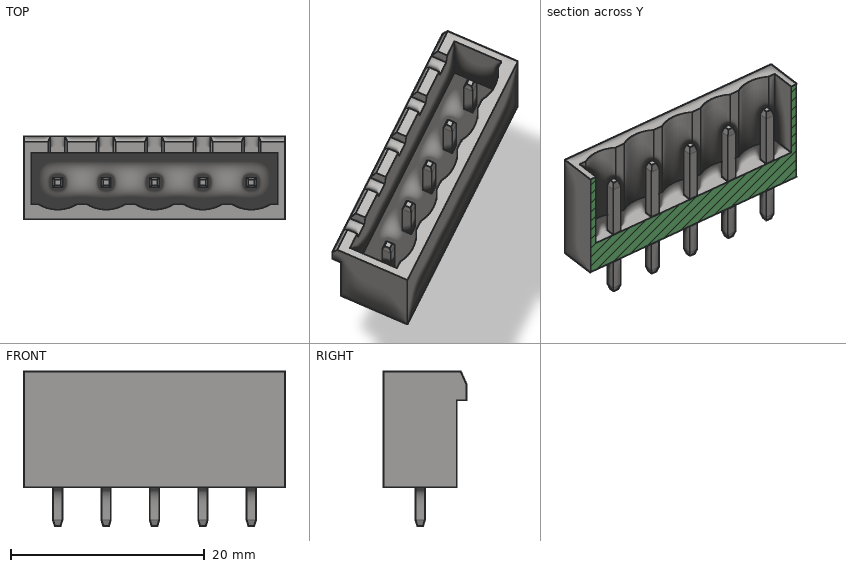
import cadquery as cq

pin_count = 5
pitch = 5.0
row_end_margin = 3.5
length = (pin_count - 1) * pitch + 2 * row_end_margin
body_depth = 7.6
body_height = 12.0
front_y = -3.8
rear_y = front_y + body_depth

lip_projection = 1.0
lip_height = 3.0
lip_bevel_depth = 0.6
lip_bevel_height = 1.35
lip_y = rear_y + lip_projection

end_wall = 0.75
front_wall = 1.55
rear_wall = 1.7
cavity_rear_y = lip_y - rear_wall
cavity_floor_z = 3.5
scallop_width = 3.9
scallop_rise = 0.55

notch_top_width = 2.0
notch_floor_width = 1.5
notch_depth = lip_bevel_height

pin_width = 1.0
pin_tip_width = 0.6
pin_taper_length = 0.67
pin_bottom_z = -4.0
pin_top_z = 10.0

pin_positions = [(i - (pin_count - 1) / 2) * pitch for i in range(pin_count)]


def make_body():
    """Side profile with the bevelled rear lip, extruded along the row."""
    profile = [
        (front_y, 0),
        (rear_y, 0),
        (rear_y, body_height - lip_height),
        (lip_y, body_height - lip_height),
        (lip_y, body_height - lip_bevel_height),
        (lip_y - lip_bevel_depth, body_height),
        (front_y, body_height),
    ]
    return cq.Workplane("YZ").polyline(profile).close().extrude(length / 2, both=True)


def make_cavity():
    """Rectangular cavity whose front side has one shallow arc scallop per pin."""
    half_length = length / 2 - end_wall
    inner_front_y = front_y + front_wall
    outline = cq.Workplane("XY", origin=(0, 0, cavity_floor_z)).moveTo(-half_length, inner_front_y)
    for x in pin_positions:
        outline = outline.lineTo(x - scallop_width / 2, inner_front_y).threePointArc(
            (x, inner_front_y - scallop_rise),
            (x + scallop_width / 2, inner_front_y),
        )
    outline = (
        outline.lineTo(half_length, inner_front_y)
        .lineTo(half_length, cavity_rear_y)
        .lineTo(-half_length, cavity_rear_y)
        .close()
    )
    return outline.extrude(body_height - cavity_floor_z)


def make_notch(x):
    """Tapered slot through the rear wall and lip, centred on a pin."""
    floor_z = body_height - notch_depth
    section = [
        (x - notch_floor_width / 2, floor_z),
        (x + notch_floor_width / 2, floor_z),
        (x + notch_top_width / 2, body_height),
        (x - notch_top_width / 2, body_height),
    ]
    return (
        cq.Workplane("XZ", origin=(0, cavity_rear_y, 0))
        .polyline(section)
        .close()
        .extrude(-rear_wall)
    )


def make_pin_tip(x, base_z, tip_offset):
    """Tapered end growing from base_z by tip_offset, up or down."""
    return (
        cq.Workplane("XY", origin=(x, 0, base_z))
        .rect(pin_width, pin_width)
        .workplane(offset=tip_offset)
        .rect(pin_tip_width, pin_tip_width)
        .loft()
    )


def make_pin(x):
    """Square pin with a tapered tip at each end."""
    shank_bottom_z = pin_bottom_z + pin_taper_length
    shank_top_z = pin_top_z - pin_taper_length
    shank = (
        cq.Workplane("XY", origin=(x, 0, shank_bottom_z))
        .rect(pin_width, pin_width)
        .extrude(shank_top_z - shank_bottom_z)
    )
    upper_tip = make_pin_tip(x, shank_top_z, pin_taper_length)
    lower_tip = make_pin_tip(x, shank_bottom_z, -pin_taper_length)
    return shank.union(upper_tip).union(lower_tip)


result = make_body().cut(make_cavity())
for pin_x in pin_positions:
    result = result.cut(make_notch(pin_x)).union(make_pin(pin_x))